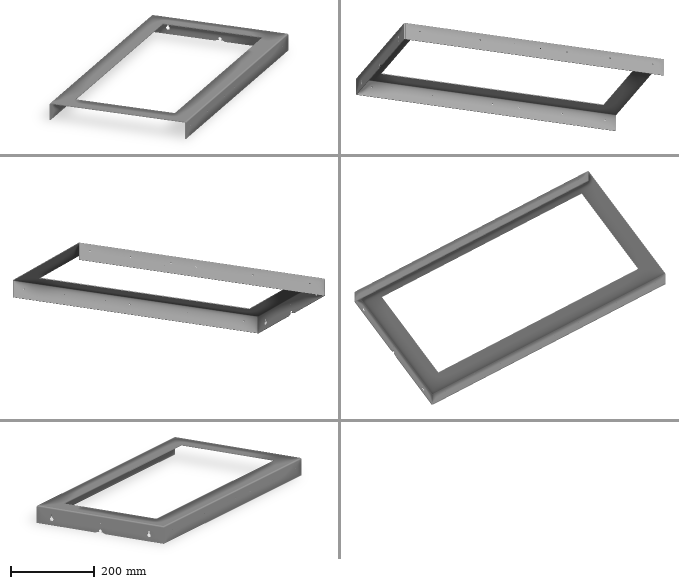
import cadquery as cq

width = 353.5
length = 663.0
height = 44.0
thickness = 2.0
outer_bend = 3.0
inner_bend = outer_bend - thickness

border = 48.0
corner_gap = 1.0

hole_diameter = 3.0
hole_height = 25.0
side_hole_positions = [-303.0, -193.5, -84.0, -16.5, 137.0, 291.0]

keyhole_offset = 135.0
keyhole_diameter = 10.0
keyhole_height = 15.0
keyhole_slot_width = 3.0

notch_diameter = 8.5
notch_center_height = 6.0
notch_mouth_width = 25.0
notch_shoulder_width = 16.0
notch_shoulder_height = 2.5

back_y = length / 2
inner_back_y = back_y - thickness


def bent_block(block_width, front_y, rear_y, top_z, bend):
    """Block with rounded top edges on the left, right and back."""
    block = cq.Workplane("XY").box(
        block_width, rear_y - front_y, top_z, centered=(True, False, False)
    ).translate((0, front_y, 0))
    return block.edges(">Z").edges("|Y or >Y").fillet(bend)


def back_plane():
    """Sketch plane on the outer back face, extruding toward -Y."""
    return cq.Workplane("XZ", origin=(0, back_y, 0))


def make_shell():
    """Top plate with left, right and back flanges, open at the front and bottom."""
    outer = bent_block(width, -length / 2, back_y, height, outer_bend)
    inner = bent_block(
        width - 2 * thickness, -length / 2, inner_back_y, height - thickness, inner_bend
    )
    return outer.cut(inner)


def make_window():
    return cq.Workplane("XY").box(
        width - 2 * border, length - 2 * border, height, centered=(True, True, False)
    )


def make_corner_gaps():
    """Slits that part the side flanges from the back flange below the bends."""
    return (
        cq.Workplane("XY")
        .center(0, inner_back_y - corner_gap / 2)
        .rect(width, corner_gap)
        .extrude(height - outer_bend)
    )


def make_side_holes():
    centers = [(y, hole_height) for y in side_hole_positions]
    return (
        cq.Workplane("YZ")
        .pushPoints(centers)
        .circle(hole_diameter / 2)
        .extrude(width / 2, both=True)
    )


def make_back_openings():
    """Keyholes, center hole and cable notch through the back flange."""
    keyhole_centers = [(side * keyhole_offset, keyhole_height) for side in (-1, 1)]
    slot_tops = [(x, hole_height) for x, _ in keyhole_centers]
    slot_middles = [(x, (keyhole_height + hole_height) / 2) for x, _ in keyhole_centers]

    openings = back_plane().pushPoints(keyhole_centers).circle(keyhole_diameter / 2).extrude(thickness)
    slot_rounds = back_plane().pushPoints(slot_tops).circle(keyhole_slot_width / 2).extrude(thickness)
    slots = (
        back_plane()
        .pushPoints(slot_middles)
        .rect(keyhole_slot_width, hole_height - keyhole_height)
        .extrude(thickness)
    )
    center_hole = back_plane().center(0, hole_height).circle(hole_diameter / 2).extrude(thickness)
    notch_round = back_plane().center(0, notch_center_height).circle(notch_diameter / 2).extrude(thickness)
    notch_mouth = (
        back_plane()
        .moveTo(-notch_mouth_width / 2, 0)
        .lineTo(-notch_shoulder_width / 2, notch_shoulder_height)
        .lineTo(notch_shoulder_width / 2, notch_shoulder_height)
        .lineTo(notch_mouth_width / 2, 0)
        .close()
        .extrude(thickness)
    )
    for opening in (slot_rounds, slots, center_hole, notch_round, notch_mouth):
        openings = openings.union(opening)
    return openings


result = (
    make_shell()
    .cut(make_window())
    .cut(make_corner_gaps())
    .cut(make_side_holes())
    .cut(make_back_openings())
)